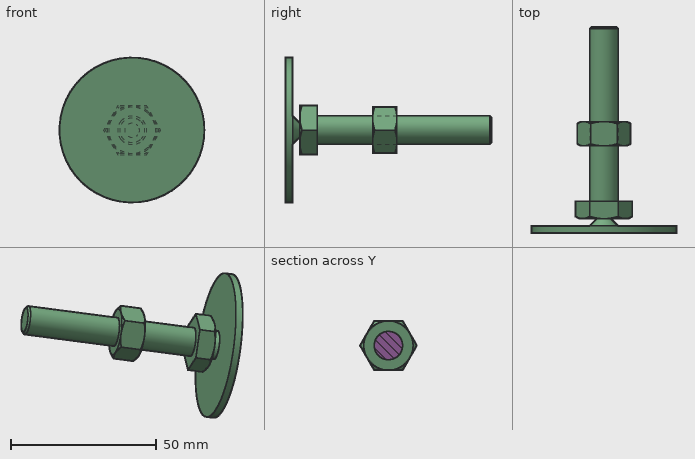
import cadquery as cq
import math


disc_diameter = 50.0
disc_thickness = 2.5

total_length = 71.0
stud_radius = 5.0
tip_chamfer = 0.7
cone_height = 2.5
cone_neck_radius = stud_radius - cone_height
head_flats = 17.0
head_height = 6.0
head_start = disc_thickness + cone_height
head_end = head_start + head_height

nut_flats = 16.0
nut_height = 8.4
nut_start = 30.0

corner_angle = 30.0


def revolve_about_y(points):
    """Revolve a closed (radius, y) outline about the Y axis."""
    return cq.Workplane("XY").polyline(points).close().revolve(360, (0, 0, 0), (0, 1, 0))


def cylinder(radius, start, end):
    return revolve_about_y([(0, start), (radius, start), (radius, end), (0, end)])


def hexagon(flats, start, height, chamfer_far_end):
    """Hexagonal prism with corners on X, chamfered at its start and optionally at its far end."""
    corner_radius = flats / 2 / math.cos(math.radians(30))
    prism = (
        cq.Workplane("XZ", origin=(0, start, 0))
        .polygon(6, 2 * corner_radius)
        .extrude(-height)
    )
    face_radius = flats / 2
    drop = (corner_radius - face_radius) * math.tan(math.radians(corner_angle))
    end = start + height
    outline = [(0, start), (face_radius, start), (corner_radius, start + drop)]
    if chamfer_far_end:
        outline += [(corner_radius, end - drop), (face_radius, end), (0, end)]
    else:
        outline += [(corner_radius, end), (0, end)]
    return prism.intersect(revolve_about_y(outline))


def make_disc():
    return cylinder(disc_diameter / 2, 0, disc_thickness)


def make_stud():
    shank = cylinder(stud_radius, head_end, total_length).faces(">Y").chamfer(tip_chamfer)
    head = hexagon(head_flats, head_start, head_height, chamfer_far_end=False)
    cone = revolve_about_y([
        (0, disc_thickness),
        (stud_radius, disc_thickness),
        (cone_neck_radius, head_start),
        (0, head_start),
    ])
    return head.union(shank).union(cone)


def make_nut():
    blank = hexagon(nut_flats, nut_start, nut_height, chamfer_far_end=True)
    bore = cylinder(stud_radius, nut_start, nut_start + nut_height)
    return blank.cut(bore)


disc = make_disc()
stud = make_stud()
nut = make_nut()

result = cq.Compound.makeCompound([disc.val(), stud.val(), nut.val()])